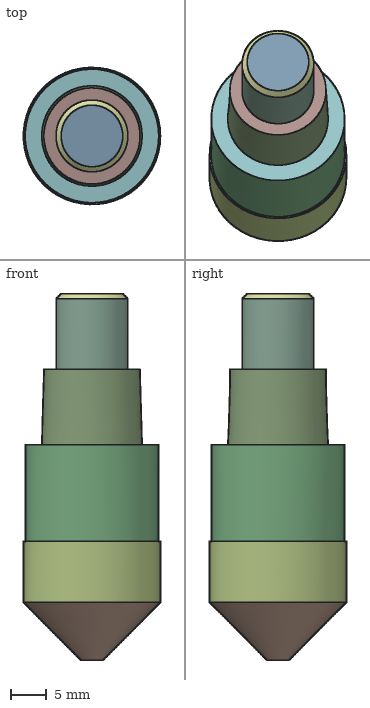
import cadquery as cq

cone_top = 8.05
head_top = 16.5
body_top = 30.0
taper_top = 40.5
total_height = 51.0

tip_diameter = 3.05
head_diameter = 19.05
body_diameter = 18.55
taper_base_diameter = 13.95
taper_top_diameter = 13.35
stem_diameter = 10.0

stem_chamfer = 0.7


def cylinder(diameter, bottom, top):
    return cq.Workplane("XY").workplane(offset=bottom).circle(diameter / 2).extrude(top - bottom)


def frustum(bottom_diameter, top_diameter, bottom, top):
    return (
        cq.Workplane("XY")
        .workplane(offset=bottom)
        .circle(bottom_diameter / 2)
        .workplane(offset=top - bottom)
        .circle(top_diameter / 2)
        .loft(ruled=True)
    )


def make_pointed_head():
    """Cylindrical head narrowing to a small flat tip."""
    cone = frustum(tip_diameter, head_diameter, 0, cone_top)
    return cone.union(cylinder(head_diameter, cone_top, head_top))


def make_stepped_shank():
    """Body, tapered shoulder and chamfered stem, seated on top of the head."""
    body = cylinder(body_diameter, head_top, body_top)
    shoulder = frustum(taper_base_diameter, taper_top_diameter, body_top, taper_top)
    stem = cylinder(stem_diameter, taper_top, total_height).faces(">Z").chamfer(stem_chamfer)
    return body.union(shoulder).union(stem)


pointed_head = make_pointed_head()
stepped_shank = make_stepped_shank()

result = cq.Compound.makeCompound([pointed_head.val(), stepped_shank.val()])